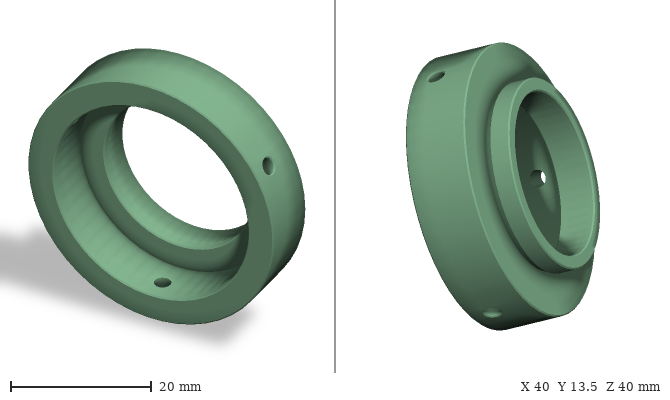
import cadquery as cq
import math

total_length = 13.5
lip_length = 3.0
groove_width = 1.0
body_length = total_length - lip_length - groove_width
counterbore_depth = 8.0

body_diameter = 40.0
lip_diameter = 28.0
groove_diameter = 27.0
counterbore_diameter = 31.7
bore_diameter = 24.0

edge_chamfer = 0.2
screw_hole_diameter = 2.5
screw_hole_setback = 3.5
screw_hole_angles = (30, 150, 270)


def cylinder(diameter, start, length):
    """Cylinder along +Y, starting the given distance behind the front face."""
    plane = cq.Workplane("XZ", origin=(0, start, 0))
    return plane.circle(diameter / 2).extrude(-length)


def cut_screw_hole(ring, angle):
    """Drill from the axis through one side of the body and chamfer the outer mouth."""
    body_radius = body_diameter / 2
    hole_radius = screw_hole_diameter / 2
    outward = cq.Vector(math.cos(math.radians(angle)), 0, math.sin(math.radians(angle)))
    start = cq.Vector(0, screw_hole_setback, 0)
    drill = cq.Solid.makeCylinder(hole_radius, body_diameter, start, outward)
    cone_height = 2 * edge_chamfer
    cone_start = start + outward * (body_radius - edge_chamfer)
    mouth = cq.Solid.makeCone(hole_radius, hole_radius + cone_height, cone_height, cone_start, outward)
    return ring.cut(cq.Workplane(drill)).cut(cq.Workplane(mouth))


body = cylinder(body_diameter, 0, body_length).edges().chamfer(edge_chamfer)
groove = cylinder(groove_diameter, body_length, groove_width)
lip = cylinder(lip_diameter, body_length + groove_width, lip_length)
lip = lip.faces(">Y").edges().chamfer(edge_chamfer)
result = body.union(groove).union(lip)

bore = cylinder(bore_diameter, 0, total_length)
counterbore = cylinder(counterbore_diameter, 0, counterbore_depth)
result = result.cut(bore).cut(counterbore)
smallest_circles = cq.selectors.RadiusNthSelector(0)
result = result.faces("<Y").edges(smallest_circles).chamfer(edge_chamfer)
result = result.edges(smallest_circles).chamfer(edge_chamfer)

for hole_angle in screw_hole_angles:
    result = cut_screw_hole(result, hole_angle)